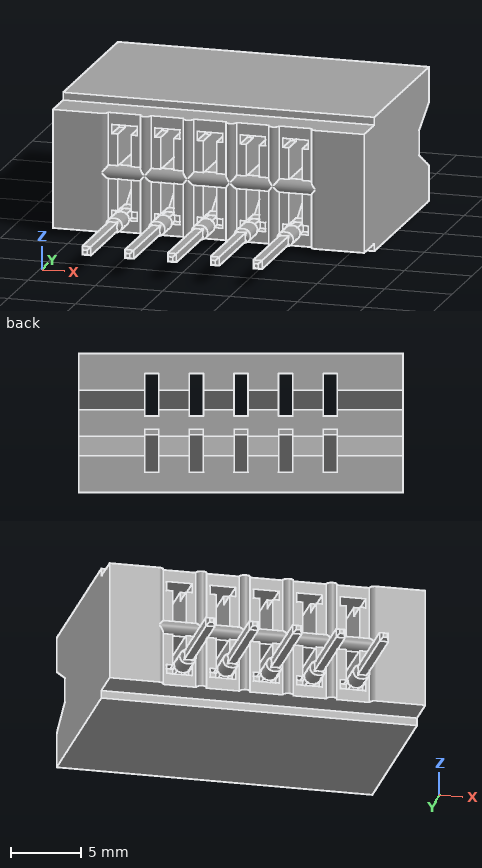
import cadquery as cq

HOUSING_WIDTH = 23.1
HOUSING_DEPTH = 16.37
HOUSING_HEIGHT = 9.92
STEP_DEPTH = 2.56
STEP_HEIGHT = 0.57

CELL_COUNT = 5
RECESS_WIDTH = 15.88
PITCH = RECESS_WIDTH / CELL_COUNT
ROW_OFFSET = PITCH

ENTRY_DEPTH = 2.49
ENTRY_MOUTH = 4.7
ENTRY_FLOOR = 1.86

RECESS_DEPTH = 0.4
CROSS_RIB_WIDTH = 0.78
LONG_RIB_RADIUS = 0.52

SLOT_WIDTH = 0.98
WEB_THICKNESS = 0.93
SEAT_WIDTH = 1.86
SEAT_HEIGHT = 0.67
SEAT_DEPTH = 1.81

PIN_SIZE = 0.65
PIN_REACH = 9.53
TIP_LENGTH = 0.4
TIP_SIZE = 0.3
COLLAR_WIDTH = 1.2
COLLAR_HEIGHT = 1.05
COLLAR_RADIUS = 0.52
COLLAR_START = 0.35
COLLAR_LENGTH = 1.97
COLLAR_CHAMFER = 0.1
NECK_LENGTH = 0.28
NECK_INSET = 0.1
NECK_TAPER = 0.18
PLATE_WIDTH = 1.75
PLATE_SETBACK = 0.78
SPRING_RUN = 4.15
SPRING_THICKNESS = 0.4

seat_end = RECESS_DEPTH + SEAT_DEPTH
slot_inner_z = WEB_THICKNESS / 2
slot_outer_z = ROW_OFFSET + SEAT_HEIGHT / 2
cell_centres = [(i - (CELL_COUNT - 1) / 2) * PITCH for i in range(CELL_COUNT)]


def block(width, y_start, y_end, z_start, z_end, x_centre=0.0):
    """Box centred on x_centre and spanning the given Y and Z ranges."""
    return cq.Workplane("XY").box(width, y_end - y_start, z_end - z_start).translate(
        (x_centre, (y_start + y_end) / 2, (z_start + z_end) / 2)
    )


def housing_shell():
    """Stepped block with the card entry groove along its far side."""
    half_height = HOUSING_HEIGHT / 2
    step_z = half_height - STEP_HEIGHT
    entry_y = HOUSING_DEPTH - ENTRY_DEPTH
    outline = [
        (0, -step_z),
        (STEP_DEPTH, -step_z),
        (STEP_DEPTH, -half_height),
        (HOUSING_DEPTH, -half_height),
        (HOUSING_DEPTH, -ENTRY_MOUTH / 2),
        (entry_y, -ENTRY_FLOOR / 2),
        (entry_y, ENTRY_FLOOR / 2),
        (HOUSING_DEPTH, ENTRY_MOUTH / 2),
        (HOUSING_DEPTH, half_height),
        (STEP_DEPTH, half_height),
        (STEP_DEPTH, step_z),
        (0, step_z),
    ]
    return cq.Workplane("YZ").polyline(outline).close().extrude(HOUSING_WIDTH / 2, both=True)


def recess():
    """Shallow recess across the contact side, open at top and bottom."""
    half_height = HOUSING_HEIGHT / 2
    return block(RECESS_WIDTH, 0, RECESS_DEPTH, -half_height, half_height)


def cross_ribs():
    """Rounded upright ribs on the cell borders; the end ones are half buried in the end walls."""
    rib_height = HOUSING_HEIGHT - 2 * STEP_HEIGHT
    half_width = CROSS_RIB_WIDTH / 2
    ribs = cq.Workplane("XY")
    for i in range(CELL_COUNT + 1):
        x = -RECESS_WIDTH / 2 + i * PITCH
        rib = (
            cq.Workplane("XY")
            .moveTo(x - half_width, RECESS_DEPTH)
            .threePointArc((x, 0), (x + half_width, RECESS_DEPTH))
            .close()
            .extrude(rib_height / 2, both=True)
        )
        ribs = ribs.add(rib)
    return ribs.combine()


def long_rib():
    """Round bar along the middle of the recess, bridging the slots in front of the web."""
    return (
        cq.Workplane("YZ")
        .center(LONG_RIB_RADIUS, 0)
        .circle(LONG_RIB_RADIUS)
        .extrude(RECESS_WIDTH / 2, both=True)
    )


def cavity(x, side):
    """Through slot and wide seat of one cavity; side is +1 for the upper row, -1 for the lower."""
    z_slot = sorted((side * slot_inner_z, side * slot_outer_z))
    z_seat = sorted((side * (slot_outer_z - SEAT_HEIGHT), side * slot_outer_z))
    slot = block(SLOT_WIDTH, RECESS_DEPTH, HOUSING_DEPTH, *z_slot, x)
    seat = block(SEAT_WIDTH, RECESS_DEPTH, seat_end, *z_seat, x)
    return slot.union(seat)


def make_housing():
    body = housing_shell().cut(recess()).union(cross_ribs())
    for x in cell_centres:
        for side in (1, -1):
            body = body.cut(cavity(x, side))
    return body.union(long_rib())


def pin():
    """Square pin along -Y with a tapered tip, centred on the Y axis."""
    shank_end = PIN_REACH - TIP_LENGTH
    plate_y = RECESS_DEPTH + PLATE_SETBACK
    half_size = PIN_SIZE / 2
    shank = block(PIN_SIZE, -shank_end, plate_y, -half_size, half_size)
    tip = (
        cq.Workplane("XZ", origin=(0, -shank_end, 0))
        .rect(PIN_SIZE, PIN_SIZE)
        .workplane(offset=TIP_LENGTH)
        .rect(TIP_SIZE, TIP_SIZE)
        .loft()
    )
    return shank.union(tip)


def rounded_bar(y_start, length, inset):
    """Bar along -Y whose section is the collar section shrunk by inset all round."""
    return (
        cq.Workplane("XZ", origin=(0, y_start, 0))
        .rect(COLLAR_WIDTH - 2 * inset, COLLAR_HEIGHT - 2 * inset)
        .extrude(length)
        .edges("|Y")
        .fillet(COLLAR_RADIUS - inset)
    )


def collar():
    """Rounded collar just outside the housing, with a tapered neck at each end."""
    barrel = rounded_bar(-COLLAR_START, COLLAR_LENGTH, 0)
    barrel = barrel.faces("<Y or >Y").chamfer(COLLAR_CHAMFER)
    necks = rounded_bar(NECK_LENGTH - COLLAR_START, COLLAR_LENGTH + 2 * NECK_LENGTH, NECK_INSET)
    necks = necks.faces("<Y or >Y").chamfer(NECK_LENGTH, NECK_TAPER)
    return barrel.union(necks)


def retaining_plate():
    """Wide plate that sits at the bottom of the cavity seat."""
    half_height = SEAT_HEIGHT / 2
    return block(PLATE_WIDTH, RECESS_DEPTH + PLATE_SETBACK, seat_end, -half_height, half_height)


def spring():
    """Flat spring that slopes up through the slot from the plate to the level of the long rib."""
    bottom = -SEAT_HEIGHT / 2
    tip_z = ROW_OFFSET - slot_inner_z
    tip_y = seat_end + SPRING_RUN
    outline = [
        (seat_end, bottom),
        (seat_end, bottom + SPRING_THICKNESS),
        (tip_y, tip_z),
        (tip_y, tip_z - SPRING_THICKNESS),
    ]
    return cq.Workplane("YZ").polyline(outline).close().extrude(SLOT_WIDTH / 2, both=True)


def make_contact(x):
    contact = pin().union(collar()).union(retaining_plate()).union(spring())
    return contact.translate((x, 0, -ROW_OFFSET))


housing = make_housing()
contacts = [make_contact(x).solids().val() for x in cell_centres]

result = cq.Compound.makeCompound([housing.solids().val(), *contacts])